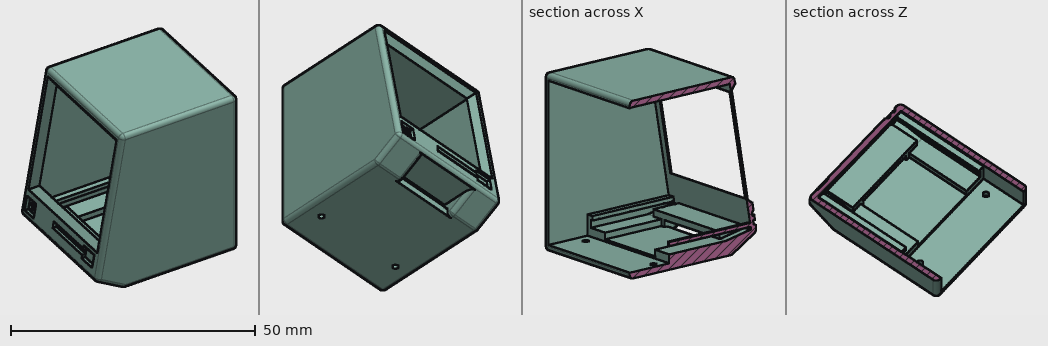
import cadquery as cq
import math

width = 30.0
depth = 33.85
height = 38.0
mid_x = width / 2
edge_radius = 1.03
wall = 1.5

face_lean = 10.0
chin_slope = 30.0
tip_z = 4.4
lean_tan = math.tan(math.radians(face_lean))
lean_cos = math.cos(math.radians(face_lean))
chin_tan = math.tan(math.radians(chin_slope))
chin_cos = math.cos(math.radians(chin_slope))

window_size = 26.75
window_z = 23.25

recess_depth = 0.5
recess_z = 7.6
slot_left = 11.97
slot_height = 1.52
grip_x = 25.45
grip_width = 4.03
grip_height = 3.05
switch_x = 3.23
switch_z = 6.88
switch_size = 3.42
button_size = 1.15
button_height = 0.5

notch_width = 14.0
notch_top = 3.42
notch_back = 7.6
notch_left = mid_x - notch_width / 2
notch_right = mid_x + notch_width / 2
tolerance = 0.0005

hood_width = 21.1
hood_top = 4.95
hood_back = 8.35
sill_z = 4.55

tray_back = 23.37
tray_z = 1.95
ledge_inset = 7.03
ledge_z = 3.4
rail_inset = 2.5
rail_lip_inset = 3.0
rail_lip_z = 5.0
rail_z = 6.0

screw_diameter = 1.25
screw_inset = 4.18
screw_y = 26.15


def face_y(z, inset=0.0):
    """Y of the leaning face at a height, moved inward by an inset."""
    return edge_radius + (inset - edge_radius) / lean_cos + (z - tip_z) * lean_tan


def chin_y(z, inset=0.0):
    """Y of the chin slope at a height, moved inward by an inset."""
    return edge_radius + (tip_z - z + (inset - edge_radius) / chin_cos) / chin_tan


def side_profile(inset, back):
    """Side outline moved inward by an inset and reaching to a given rear Y."""
    bottom = inset
    top = height - inset
    tip_gap = chin_y(0, inset) - face_y(0, inset)
    corner_z = tip_gap / (lean_tan + 1 / chin_tan)
    return [
        (back, bottom),
        (chin_y(bottom, inset), bottom),
        (face_y(corner_z, inset), corner_z),
        (face_y(top, inset), top),
        (back, top),
    ]


def prism(profile, x_start, x_end):
    """Extrude a Y-Z outline between two X positions."""
    return cq.Workplane("YZ", origin=(x_start, 0, 0)).polyline(profile).close().extrude(x_end - x_start)


def block(x_start, x_end, y_start, y_end, z_start, z_end):
    """Box between two opposite corners."""
    size = (x_end - x_start, y_end - y_start, z_end - z_start)
    return cq.Workplane(origin=(x_start, y_start, z_start)).box(*size, centered=False)


def face_plane(x, z):
    """Workplane on the leaning face, pointing inward; its local X runs toward -X."""
    lean = math.radians(face_lean)
    normal = (0, math.cos(lean), -math.sin(lean))
    return cq.Workplane(cq.Plane(origin=(x, face_y(z), z), xDir=(-1, 0, 0), normal=normal))


def tapered_pocket(x, z, size_x, size_z, pocket_depth):
    """Rectangular pocket in the face whose sides slope in at 45 degrees."""
    return face_plane(x, z).rect(size_x, size_z).extrude(pocket_depth, taper=45)


def is_notch_rim(edge):
    """True for the notch edges on the outside of the chin and bottom."""
    centre = edge.Center()
    on_side = min(abs(centre.x - notch_left), abs(centre.x - notch_right)) < tolerance
    box = edge.BoundingBox()
    inner = box.zmin > notch_top - tolerance or box.ymin > notch_back - tolerance
    return on_side and not inner


body = prism(side_profile(0, depth), 0, width).edges().fillet(edge_radius)

body = body.cut(block(notch_left, notch_right, 0, notch_back, 0, notch_top))
rims = [edge for edge in body.edges().vals() if is_notch_rim(edge)]
body = body.newObject(rims).fillet(edge_radius)

cavity = prism(side_profile(wall, depth), wall, width - wall)

fittings = block(wall, width - wall, 0, tray_back, 0, tray_z)
fittings = fittings.union(block(mid_x - hood_width / 2, mid_x + hood_width / 2, 0, hood_back, 0, hood_top))
sill_drop = (hood_back - wall) * lean_tan
sill_profile = [(0, 0), (hood_back, 0), (hood_back, sill_z - sill_drop), (wall, sill_z), (0, sill_z)]
fittings = fittings.union(prism(sill_profile, 0, width))
side_steps = [
    (ledge_inset, 0, ledge_z),
    (rail_inset, ledge_z, rail_lip_z),
    (rail_lip_inset, rail_lip_z, rail_z),
]
for inset, bottom, top in side_steps:
    step = block(0, inset, 0, tray_back, bottom, top)
    fittings = fittings.union(step).union(step.mirror("YZ", (mid_x, 0, 0)))
body = body.cut(cavity.cut(fittings))

body = body.cut(block(notch_left, notch_right, 0, hood_back, tray_z, notch_top))

body = body.cut(tapered_pocket(mid_x, window_z, window_size, window_size, wall))

slot_width = grip_x - slot_left
slot = tapered_pocket(slot_left + slot_width / 2, recess_z, slot_width, slot_height, recess_depth)
grip = tapered_pocket(grip_x, recess_z, grip_width, grip_height, recess_depth)
body = body.cut(slot).cut(grip)

button = (
    face_plane(switch_x, switch_z)
    .workplane(offset=recess_depth - button_height)
    .rect(button_size, button_size)
    .extrude(button_height)
)
body = body.cut(tapered_pocket(switch_x, switch_z, switch_size, switch_size, recess_depth)).union(button)

for x in (screw_inset, width - screw_inset):
    hole = cq.Workplane(origin=(x, screw_y, 0)).circle(screw_diameter / 2).extrude(wall)
    body = body.cut(hole)

result = body